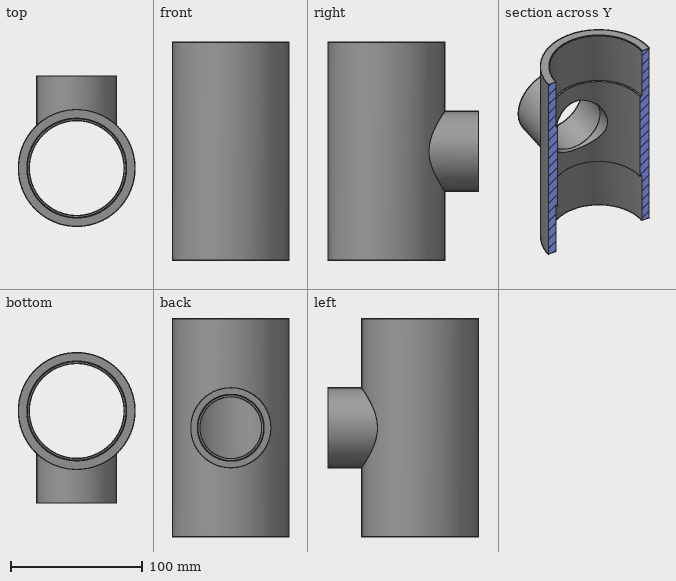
import cadquery as cq

run_length = 166.0
run_outer_diameter = 89.0
run_socket_diameter = 75.0
run_bore_diameter = 72.0
run_socket_depth = 44.0

branch_reach = 70.0
branch_outer_diameter = 61.0
branch_socket_diameter = 50.0
branch_bore_diameter = 47.0
branch_socket_depth = 31.0

mouth_chamfer = 0.5


def run_cylinder(diameter, start, length):
    """Cylinder on the run axis, rising from height start."""
    return cq.Workplane("XY").workplane(offset=start).circle(diameter / 2).extrude(length)


def branch_cylinder(diameter, start, length):
    """Cylinder on the branch axis, starting at Y = start and running toward +Y."""
    return cq.Workplane("XZ").workplane(offset=-start).circle(diameter / 2).extrude(-length)


body = run_cylinder(run_outer_diameter, -run_length / 2, run_length)
body = body.union(branch_cylinder(branch_outer_diameter, 0, branch_reach))

body = body.cut(run_cylinder(run_bore_diameter, -run_length / 2, run_length))
body = body.cut(branch_cylinder(branch_bore_diameter, 0, branch_reach))

for socket_start in (-run_length / 2, run_length / 2 - run_socket_depth):
    body = body.cut(run_cylinder(run_socket_diameter, socket_start, run_socket_depth))
branch_socket_start = branch_reach - branch_socket_depth
body = body.cut(branch_cylinder(branch_socket_diameter, branch_socket_start, branch_socket_depth))

for end_face in ("<Z", ">Z", ">Y"):
    mouth_edge = body.faces(end_face).wires(cq.selectors.RadiusNthSelector(0))
    body = mouth_edge.chamfer(mouth_chamfer)

result = body